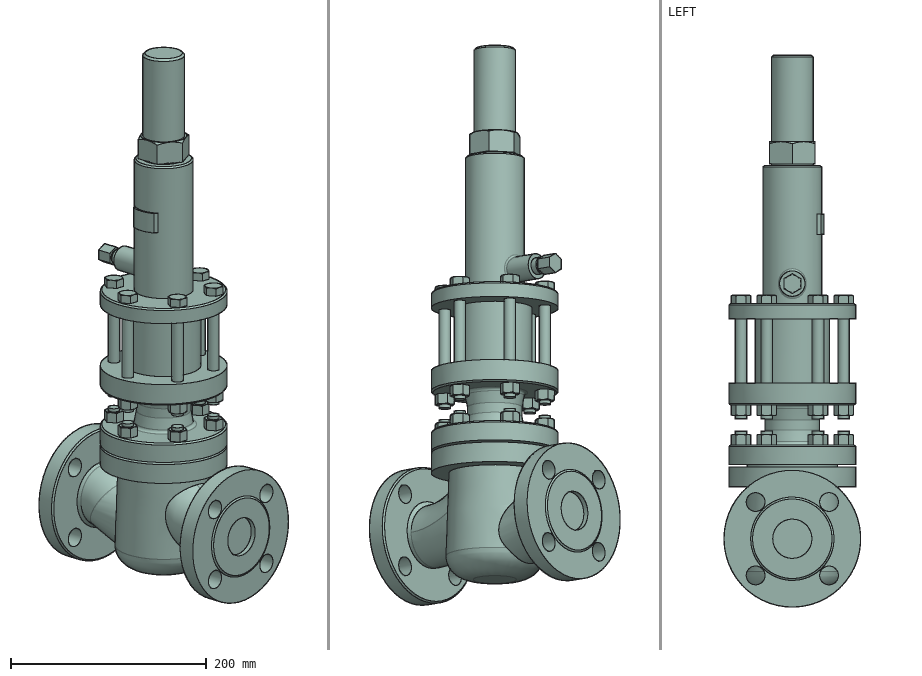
import cadquery as cq
import math


total_height = 564
face_to_face = 222.0

pipe_flange_dia = 140.0
pipe_flange_thickness = 20.0
raised_face_height = 1.0
raised_face_dia = 81.0
raised_face_base_dia = 85.0
bore_dia = 40.0
bore_depth = 5.5
pipe_hole_dia = 19.0
pipe_hole_circle_dia = 106.0
pipe_hole_count = 4
flange_chamfer = 1.5
pipe_flange_back = face_to_face / 2 - raised_face_height - pipe_flange_thickness

branch_width = 66.5
branch_height = 64.5
hub_base_dia = 69.0
hub_length = 4.5
branch_start = pipe_flange_back - hub_length
inlet_rise = 1.0
outlet_drop = 2.0
outlet_end_x = 31.0
outlet_rise = 17.0
outlet_growth = 12.5
outlet_steps = 4
inlet_bend = math.radians(31)
inlet_slope = math.radians(21)
inlet_run = 48.0
inlet_bend_gap = 1.5

bowl_bottom_z = -57.5
bowl_edge_z = -33.0
body_top_z = 53.0
joint_gap_bottom_z = 73.5
joint_gap_top_z = 75.5
bonnet_top_z = 96.0
neck_waist_bottom_z = 111.0
neck_waist_top_z = 121.0
cage_base_bottom_z = 136.5
cage_base_top_z = 159.0
cage_cap_bottom_z = 224.5
cage_cap_top_z = 240.0
sleeve_top_z = 381.0
lock_nut_bottom_z = 383.0
lock_nut_top_z = 405.5
stem_cap_top_z = total_height - pipe_flange_dia / 2

valve_flange_dia = 130.0
bowl_dia = 100.0
bowl_floor_dia = 44.0
body_neck_dia = 93.5
gasket_dia = 92.5
neck_waist_dia = 56.0
neck_end_dia = 60.5
neck_fillet = 3.5
cage_core_dia = 76.0
sleeve_dia = 60.5
lock_nut_flats = 47.0
stem_cap_dia = 43.0
stem_cap_chamfer = 2.0

bolt_circle_dia = 105.0
bolt_count = 6
bolt_dia = 12.0
bolt_flats = 17.5
bolt_head_height = 8.5
nut_height = 10.5
bolt_end = 3.5

plate_width = 33.0
plate_bottom_z = 311.0
plate_top_z = 331.5
plate_thickness = 2.0
plate_edge_width = 2.0

port_z = 260.5
port_dia = 26.0
port_fillet = 2.0
port_end = 58.5
collar_end = 65.5
collar_dia = 17.5
plug_neck_dia = 14.0
plug_head_start = 68.0
plug_head_end = 84.5
plug_flats = 17.5

hex_chamfer_slope = math.tan(math.radians(30))


def disc(diameter, bottom, top):
    return cq.Workplane("XY").workplane(offset=bottom).circle(diameter / 2).extrude(top - bottom)


def hexagon(flats, height, chamfer_bottom=False, chamfer_top=False):
    """Hexagon standing on Z = 0 with corners along Y and optional turned-off corners."""
    corner_dia = flats / math.cos(math.pi / 6)
    inset = (corner_dia - flats) / 2
    drop = inset * hex_chamfer_slope
    blank = cq.Workplane("XY").circle(corner_dia / 2).extrude(height)
    if chamfer_bottom:
        blank = blank.faces("<Z").chamfer(drop, inset)
    if chamfer_top:
        blank = blank.faces(">Z").chamfer(drop, inset)
    prism = cq.Workplane("XY").transformed(rotate=(0, 0, 90)).polygon(6, corner_dia).extrude(height)
    return prism.intersect(blank)


def around_bolt_circle(piece):
    pitch = 2 * math.pi / bolt_count
    radius = bolt_circle_dia / 2
    ring = cq.Workplane("XY")
    for index in range(bolt_count):
        angle = (index + 0.5) * pitch
        ring = ring.add(piece.translate((radius * math.cos(angle), radius * math.sin(angle), 0)))
    return ring.combine()


def body():
    floor_radius = bowl_floor_dia / 2
    return (
        cq.Workplane("XZ")
        .moveTo(0, bowl_bottom_z)
        .lineTo(floor_radius, bowl_bottom_z)
        .ellipseArc(bowl_dia / 2 - floor_radius, bowl_edge_z - bowl_bottom_z, 270, 360)
        .lineTo(body_neck_dia / 2, body_top_z)
        .lineTo(0, body_top_z)
        .close()
        .revolve(360, (0, 0, 0), (0, 1, 0))
    )


def bonnet_neck():
    end_radius = neck_end_dia / 2
    waist_radius = neck_waist_dia / 2
    flare_radius = end_radius + neck_fillet
    arc_shift = neck_fillet * (1 - math.sqrt(0.5))
    return (
        cq.Workplane("XZ")
        .moveTo(0, bonnet_top_z)
        .lineTo(flare_radius, bonnet_top_z)
        .threePointArc(
            (end_radius + arc_shift, bonnet_top_z + arc_shift),
            (end_radius, bonnet_top_z + neck_fillet),
        )
        .lineTo(waist_radius, neck_waist_bottom_z)
        .lineTo(waist_radius, neck_waist_top_z)
        .lineTo(end_radius, cage_base_bottom_z - neck_fillet)
        .threePointArc(
            (end_radius + arc_shift, cage_base_bottom_z - arc_shift),
            (flare_radius, cage_base_bottom_z),
        )
        .lineTo(0, cage_base_bottom_z)
        .close()
        .revolve(360, (0, 0, 0), (0, 1, 0))
    )


def valve_column():
    column = body().union(disc(valve_flange_dia, body_top_z, joint_gap_bottom_z))
    column = column.union(disc(gasket_dia, joint_gap_bottom_z, joint_gap_top_z))
    bonnet = disc(valve_flange_dia, joint_gap_top_z, bonnet_top_z)
    cage_base = disc(valve_flange_dia, cage_base_bottom_z, cage_base_top_z)
    cage_cap = disc(valve_flange_dia, cage_cap_bottom_z, cage_cap_top_z)
    stem_cap = disc(stem_cap_dia, sleeve_top_z, stem_cap_top_z)
    column = column.union(bonnet.faces(">Z").chamfer(flange_chamfer))
    column = column.union(bonnet_neck())
    column = column.union(cage_base.faces("<Z").chamfer(flange_chamfer))
    column = column.union(disc(cage_core_dia, cage_base_top_z, cage_cap_bottom_z))
    column = column.union(cage_cap.faces(">Z").chamfer(flange_chamfer))
    column = column.union(sleeve_with_port())
    column = column.union(stem_cap.faces(">Z").chamfer(stem_cap_chamfer))
    lock_nut = hexagon(lock_nut_flats, lock_nut_top_z - lock_nut_bottom_z, chamfer_top=True)
    lock_nut = lock_nut.rotate((0, 0, 0), (0, 0, 1), 90)
    return column.union(lock_nut.translate((0, 0, lock_nut_bottom_z)))


def cage_bolts():
    nut_bottom_z = cage_base_bottom_z - nut_height
    head = hexagon(bolt_flats, bolt_head_height, chamfer_top=True).translate((0, 0, cage_cap_top_z))
    nut = hexagon(bolt_flats, nut_height, chamfer_bottom=True).translate((0, 0, nut_bottom_z))
    shank = disc(bolt_dia, nut_bottom_z - bolt_end, cage_cap_top_z)
    return around_bolt_circle(head.union(shank).union(nut))


def bonnet_bolts():
    nut = hexagon(bolt_flats, nut_height, chamfer_top=True).translate((0, 0, bonnet_top_z))
    stud = disc(bolt_dia, joint_gap_top_z, bonnet_top_z + nut_height + bolt_end)
    return around_bolt_circle(nut.union(stud))


def name_plate():
    """Plate wrapped on the sleeve, with side edges that slope inwards."""
    sleeve_radius = sleeve_dia / 2
    outer_radius = sleeve_radius + plate_thickness
    base_x = plate_width / 2
    crest_x = base_x - plate_edge_width
    base_y = -math.sqrt(sleeve_radius**2 - base_x**2)
    crest_y = -math.sqrt(outer_radius**2 - crest_x**2)
    return (
        cq.Workplane("XY", origin=(0, 0, plate_bottom_z))
        .moveTo(0, 0)
        .lineTo(base_x, base_y)
        .lineTo(crest_x, crest_y)
        .threePointArc((0, -outer_radius), (-crest_x, crest_y))
        .lineTo(-base_x, base_y)
        .close()
        .extrude(plate_top_z - plate_bottom_z)
    )


def side_turning(diameter, end):
    """Cylinder reaching from the valve axis to X = -end at the height of the side port."""
    return cq.Workplane("YZ").center(0, port_z).circle(diameter / 2).extrude(-end)


def sleeve_with_port():
    """Sleeve and port joined by a fillet along their meeting curve."""
    sleeve = disc(sleeve_dia, cage_cap_top_z, sleeve_top_z).faces(">Z").chamfer(flange_chamfer)
    meeting_curve = cq.selectors.BoxSelector(
        (-sleeve_dia / 2, -port_dia, port_z - port_dia / 2),
        (-sleeve_dia / 4, port_dia, port_z + port_dia / 2),
    )
    return sleeve.union(side_turning(port_dia, port_end)).edges(meeting_curve).fillet(port_fillet)


def port_plug():
    head = hexagon(plug_flats, plug_head_end - plug_head_start)
    head = head.rotate((0, 0, 0), (0, 0, 1), 90).rotate((0, 0, 0), (0, 1, 0), -90)
    head = head.translate((-plug_head_start, 0, port_z))
    collar = side_turning(collar_dia, collar_end)
    neck = side_turning(plug_neck_dia, plug_head_start)
    return collar.union(neck).union(head)


def pipe_flange():
    """End flange on the -X side, without its holes."""
    back = -pipe_flange_back
    front = back - pipe_flange_thickness
    flange = cq.Workplane("YZ", origin=(front, 0, 0)).circle(pipe_flange_dia / 2)
    flange = flange.extrude(pipe_flange_thickness).faces(">X").chamfer(flange_chamfer)
    raised_face = (
        cq.Workplane("YZ", origin=(front, 0, 0))
        .circle(raised_face_base_dia / 2)
        .workplane(offset=-raised_face_height)
        .circle(raised_face_dia / 2)
        .loft()
    )
    return flange.union(raised_face)


def pipe_flange_holes():
    face = cq.Workplane("YZ", origin=(-face_to_face / 2, 0, 0))
    bolt_holes = (
        face.polarArray(pipe_hole_circle_dia / 2, 45, 360, pipe_hole_count)
        .circle(pipe_hole_dia / 2)
        .extrude(raised_face_height + pipe_flange_thickness)
    )
    bore = face.circle(bore_dia / 2).extrude(bore_depth)
    return bolt_holes.union(bore)


def oval(x, z, height=branch_height, tilt=0.0):
    """Branch section at (x, z): branch_width wide along Y, its height leaning by tilt towards +X."""
    plane = cq.Plane((x, 0, z), (0, 1, 0), (math.cos(tilt), 0, -math.sin(tilt)))
    return cq.Workplane(plane).ellipse(branch_width / 2, height / 2).wires().val()


def loft(sections, ruled=False):
    return cq.Workplane(cq.Solid.makeLoft(sections, ruled))


def hub(side, z):
    base = cq.Workplane("YZ", origin=(side * pipe_flange_back, 0, 0)).circle(hub_base_dia / 2)
    base_wire = base.wires().val()
    return loft([base_wire, oval(side * branch_start, z)], ruled=True)


def inlet_branch():
    """A bend turning about a line just below the pipe, then a straight run sloping down."""
    bend_radius = branch_height / 2 + inlet_bend_gap
    pivot_z = inlet_rise - bend_radius
    elbow = (
        cq.Workplane("YZ", origin=(-branch_start, 0, inlet_rise))
        .ellipse(branch_width / 2, branch_height / 2)
        .revolve(math.degrees(inlet_bend), (0, -bend_radius, 0), (1, -bend_radius, 0))
    )
    bend_x = -branch_start + bend_radius * math.sin(inlet_bend)
    bend_z = pivot_z + bend_radius * math.cos(inlet_bend)
    end_x = bend_x + inlet_run * math.cos(inlet_slope)
    end_z = bend_z - inlet_run * math.sin(inlet_slope)
    run_sections = [
        oval(bend_x, bend_z, tilt=inlet_bend),
        oval(end_x, end_z, tilt=inlet_bend),
    ]
    return hub(-1, inlet_rise).union(elbow).union(loft(run_sections))


def outlet_branch():
    """A passage that rises and grows taller along a parabola on its way into the body."""
    sections = []
    for step in range(outlet_steps + 1):
        share = step / outlet_steps
        x = branch_start + share * (outlet_end_x - branch_start)
        z = share**2 * outlet_rise - outlet_drop
        sections.append(oval(x, z, branch_height + share**2 * outlet_growth))
    return hub(1, -outlet_drop).union(loft(sections))


def mirrored(shape):
    return shape.mirror("YZ")


result = (
    valve_column()
    .union(cage_bolts())
    .union(bonnet_bolts())
    .union(name_plate())
    .union(port_plug())
    .union(inlet_branch())
    .union(outlet_branch())
    .union(pipe_flange())
    .union(mirrored(pipe_flange()))
    .cut(pipe_flange_holes())
    .cut(mirrored(pipe_flange_holes()))
)